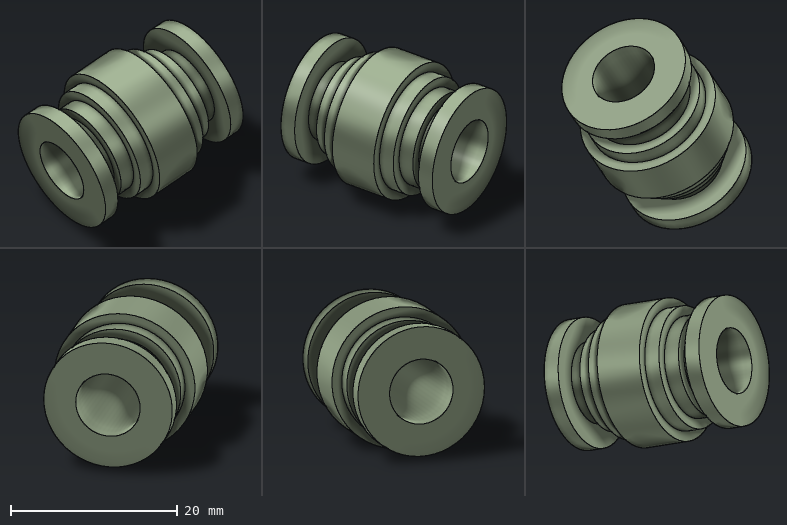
import cadquery as cq

length = 22.0
steps_per_side = 4
band_width_in_steps = 3
step_width = length / (2 * steps_per_side + band_width_in_steps)

band_diameter = 17.5
shoulder_diameter = 15.0
collar_diameter = 12.5
neck_diameter = 10.0
flange_diameter = 16.0
bore_diameter = 8.0


def centered_cylinder(diameter, width):
    """Cylinder along Y, centered on the origin."""
    return cq.Workplane("XZ", origin=(0, width / 2, 0)).circle(diameter / 2).extrude(width)


def end_flange(side):
    """Flange at one end: side is +1 for the +Y end, -1 for the -Y end."""
    center_y = side * (length - step_width) / 2
    return centered_cylinder(flange_diameter, step_width).translate((0, center_y, 0))


body = centered_cylinder(band_diameter, band_width_in_steps * step_width)
stepped_diameters = [shoulder_diameter, collar_diameter, neck_diameter]
for step_number, diameter in enumerate(stepped_diameters, start=1):
    width = (band_width_in_steps + 2 * step_number) * step_width
    body = body.union(centered_cylinder(diameter, width))

for side in (-1, 1):
    body = body.union(end_flange(side))

result = body.cut(centered_cylinder(bore_diameter, length))